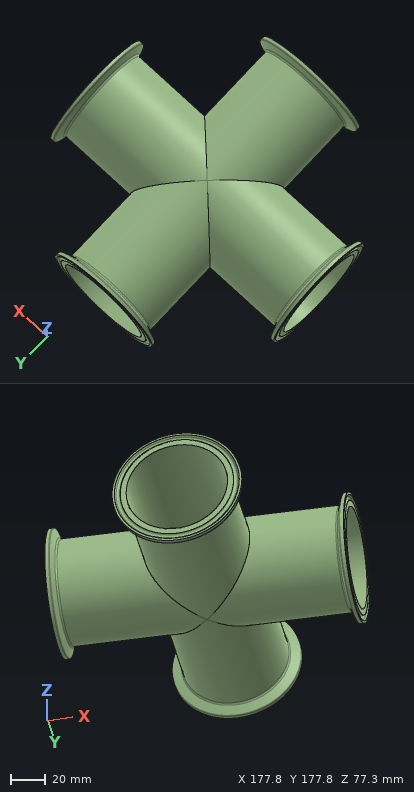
import cadquery as cq
import math

overall_length = 177.8
tube_diameter = 63.5
bore_diameter = 60.3
flange_diameter = 77.3

rim_thickness = 2.7
cone_angle = 20.0
rim_round = 0.5
neck_round = 1.2

groove_inner_diameter = 67.5
groove_outer_diameter = 74.3
groove_wall_foot_diameter = 72.5
groove_wall_foot_depth = 0.9
groove_depth = 1.6

half_length = overall_length / 2
tube_radius = tube_diameter / 2
flange_radius = flange_diameter / 2
cone_length = (flange_radius - tube_radius) * math.tan(math.radians(cone_angle))
rim_back = half_length - rim_thickness
neck = rim_back - cone_length


def revolve_about_x(profile):
    return profile.close().revolve(360, (0, 0, 0), (1, 0, 0))


def straight_run():
    """Solid tube along X, flanged at its +X end and starting at the cross centre."""
    run = revolve_about_x(
        cq.Workplane("XY")
        .lineTo(0, tube_radius)
        .lineTo(neck, tube_radius)
        .lineTo(rim_back, flange_radius)
        .lineTo(half_length, flange_radius)
        .lineTo(half_length, 0)
    )
    run = run.edges(cq.selectors.RadiusNthSelector(-1)).edges("<X").fillet(rim_round)
    neck_edge = cq.selectors.BoxSelector(
        (neck - rim_round, -tube_diameter, -tube_diameter),
        (neck + rim_round, tube_diameter, tube_diameter),
    )
    return run.edges(neck_edge).edges("%CIRCLE").fillet(neck_round)


def gasket_groove():
    """Ring removed from the sealing face at the +X end."""
    inner_radius = groove_inner_diameter / 2
    outer_radius = groove_outer_diameter / 2
    foot_radius = groove_wall_foot_diameter / 2
    floor_radius = (inner_radius + foot_radius) / 2
    return revolve_about_x(
        cq.Workplane("XY")
        .moveTo(half_length, inner_radius)
        .threePointArc(
            (half_length - groove_depth, floor_radius),
            (half_length - groove_wall_foot_depth, foot_radius),
        )
        .lineTo(half_length, outer_radius)
    )


branch = straight_run().cut(gasket_groove())
through_bore = (
    cq.Workplane("YZ").circle(bore_diameter / 2).extrude(half_length, both=True)
)

cross = branch
for turn in (90, 180, 270):
    cross = cross.union(branch.rotate((0, 0, 0), (0, 0, 1), turn))

for turn in (0, 90):
    cross = cross.cut(through_bore.rotate((0, 0, 0), (0, 0, 1), turn))

result = cross